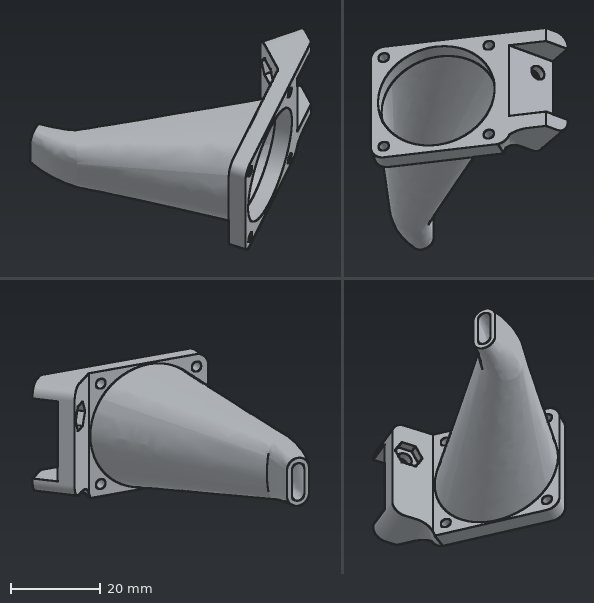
import cadquery as cq
import math

plate_size = 30.0
plate_thickness = 4.0
corner_radius = 3.0
arm_depth = 10.0
arm_back_width = 5.85
arm_height = 26.6
notch_depth = 6.0
notch_height = 19.1
notch_top_margin = 3.6
screw_spacing = 24.0
screw_diameter = 2.35
nut_x = 4.1
nut_z = 6.9
nut_flats = 5.85
nut_depth = 2.0
nut_bolt_diameter = 3.4
wall = 1.3
duct_radius = 14.65
tip_width = 5.4
tip_height = 11.55
tip_slot_width = 3.0
tip_slot_height = 9.0

bend_start = ((0.1, -55.3), (9.45, -58.6))
bend_middle = ((-2.1, -58.4), (4.5, -62.95))
tip = ((-4.6, -61.6), (-1.05, -65.65))
bend_start_half_height = 7.55
bend_start_seam_z = 3.9
bend_start_bulge = 0.4
bend_middle_half_height = 6.7
bend_middle_seam_z = 3.4
bend_middle_bulge = 0.2

seam_angle = math.radians(35)

diagonal = math.sqrt(0.5)
top_z = plate_size / 2
arm_bottom_z = top_z - arm_height
arm_front_width = arm_back_width - plate_thickness / diagonal + arm_depth
plate_center_x = arm_front_width + plate_size / 2 * diagonal
plate_center_y = -arm_depth - plate_size / 2 * diagonal
plate_face = cq.Plane(
    origin=(plate_center_x, plate_center_y, 0), xDir=(1, -1, 0), normal=(-1, -1, 0)
)
plate_back = cq.Workplane(plate_face).workplane(offset=-plate_thickness).plane

full_drop = plate_size - arm_height
front_lip = [(-2.9, 0), (-1.9, 0.2), (-1.0, 0.8), (-0.1, 1.9), (0.3, full_drop)]
back_lip = [(-5.5, 0), (-3.5, 0.4), (-1.8, 1.2), (-0.8, 2.6), (0.9, full_drop)]


def mount_blank():
    along = plate_size * diagonal
    across = plate_thickness * diagonal
    end_x = arm_front_width + along
    end_y = -arm_depth - along
    return (
        cq.Workplane("XY")
        .workplane(offset=-top_z)
        .moveTo(0, 0)
        .lineTo(arm_back_width, 0)
        .lineTo(end_x + across, end_y + across)
        .lineTo(end_x, end_y)
        .lineTo(arm_front_width, -arm_depth)
        .lineTo(0, -arm_depth)
        .close()
        .extrude(plate_size)
    )


def round_plate_end(body):
    plate_end = body.faces(cq.selectors.DirectionMinMaxSelector(cq.Vector(1, -1, 0)))
    return plate_end.edges("not |Z").fillet(corner_radius)


def under_arm_outline(plane, lip_points):
    """Space under the arm, bounded by a lip of two arcs running down to the plate's lower edge."""
    far_end = -plate_size
    start, first_bend, middle, second_bend, end = [
        (along - plate_size / 2, arm_bottom_z - drop) for along, drop in lip_points
    ]
    return (
        cq.Workplane(plane)
        .moveTo(far_end, arm_bottom_z)
        .lineTo(*start)
        .threePointArc(first_bend, middle)
        .threePointArc(second_bend, end)
        .lineTo(far_end, end[1])
        .close()
    )


def under_arm_cutter():
    """The lip changes evenly from its front outline to its back outline through the plate."""
    front_outline = under_arm_outline(plate_face, front_lip)
    back_outline = under_arm_outline(plate_back, back_lip)
    through_plate = cq.Solid.makeLoft([front_outline.val(), back_outline.val()], True)
    return front_outline.extrude(plate_size).union(cq.Workplane(through_plate))


def arm_notch():
    reach = arm_back_width + arm_depth
    return cq.Workplane("XY").box(reach, notch_depth, notch_height, centered=False).translate(
        (0, -notch_depth, top_z - notch_top_margin - notch_height)
    )


def nut_pocket():
    face = cq.Plane(origin=(nut_x, -arm_depth, nut_z), xDir=(1, 0, 0), normal=(0, -1, 0))
    nut = cq.Workplane(face).polygon(6, nut_flats / math.cos(math.pi / 6)).extrude(-nut_depth)
    bolt = cq.Workplane(face).circle(nut_bolt_diameter / 2).extrude(-arm_depth)
    return nut.union(bolt)


def plate_holes():
    screws = (
        cq.Workplane(plate_face)
        .rect(screw_spacing, screw_spacing, forConstruction=True)
        .vertices()
        .circle(screw_diameter / 2)
        .extrude(-plate_thickness)
    )
    air = cq.Workplane(plate_face).circle(duct_radius - wall).extrude(-plate_thickness)
    return screws.union(air)


def make_mount():
    body = round_plate_end(mount_blank()).cut(under_arm_cutter())
    body = body.faces("<X").edges("not |Z").fillet(corner_radius)
    return body.cut(arm_notch()).cut(nut_pocket()).cut(plate_holes())



def cross_plane(ends):
    """Plane standing on the line between the two ends, centered between them."""
    (x1, y1), (x2, y2) = ends
    return cq.Plane(
        origin=((x1 + x2) / 2, (y1 + y2) / 2, 0),
        xDir=(x2 - x1, y2 - y1, 0),
        normal=(y2 - y1, x1 - x2, 0),
    )


def width_of(ends):
    return math.dist(*ends)


def section(plane, half_width, half_height, seam_x, seam_z):
    """Closed outline of two sides and two round ends meeting at four seam points."""
    outline = cq.Workplane(plane).moveTo(seam_x, -seam_z)
    if half_width > seam_x:
        outline = outline.threePointArc((half_width, 0), (seam_x, seam_z))
    else:
        outline = outline.lineTo(seam_x, seam_z)
    outline = outline.threePointArc((0, half_height), (-seam_x, seam_z))
    if half_width > seam_x:
        outline = outline.threePointArc((-half_width, 0), (-seam_x, -seam_z))
    else:
        outline = outline.lineTo(-seam_x, -seam_z)
    return outline.threePointArc((0, -half_height), (seam_x, -seam_z)).close().val()


def loft_sections(inlet_radius, inset, nozzle_width, nozzle_height):
    inlet = section(
        plate_face,
        inlet_radius,
        inlet_radius,
        inlet_radius * math.cos(seam_angle),
        inlet_radius * math.sin(seam_angle),
    )

    def bend_section(ends, half_height, seam_z, side_bulge):
        half_width = width_of(ends) / 2 - inset
        return section(
            cross_plane(ends), half_width, half_height - inset, half_width - side_bulge, seam_z
        )

    start = bend_section(bend_start, bend_start_half_height, bend_start_seam_z, bend_start_bulge)
    middle = bend_section(bend_middle, bend_middle_half_height, bend_middle_seam_z, bend_middle_bulge)
    half_width = nozzle_width / 2
    end = section(
        cross_plane(tip), half_width, nozzle_height / 2, half_width, nozzle_height / 2 - half_width
    )
    cone = cq.Solid.makeLoft([inlet, start], True)
    bend = cq.Solid.makeLoft([start, middle, end])
    return cq.Workplane(cone).union(cq.Workplane(bend))


def make_duct():
    outside = loft_sections(duct_radius, 0, tip_width, tip_height)
    inside = loft_sections(duct_radius - wall, wall, tip_slot_width, tip_slot_height)
    return outside.cut(inside)


mount = make_mount()
duct = make_duct()
result = cq.Compound.makeCompound([mount.val(), duct.val()])